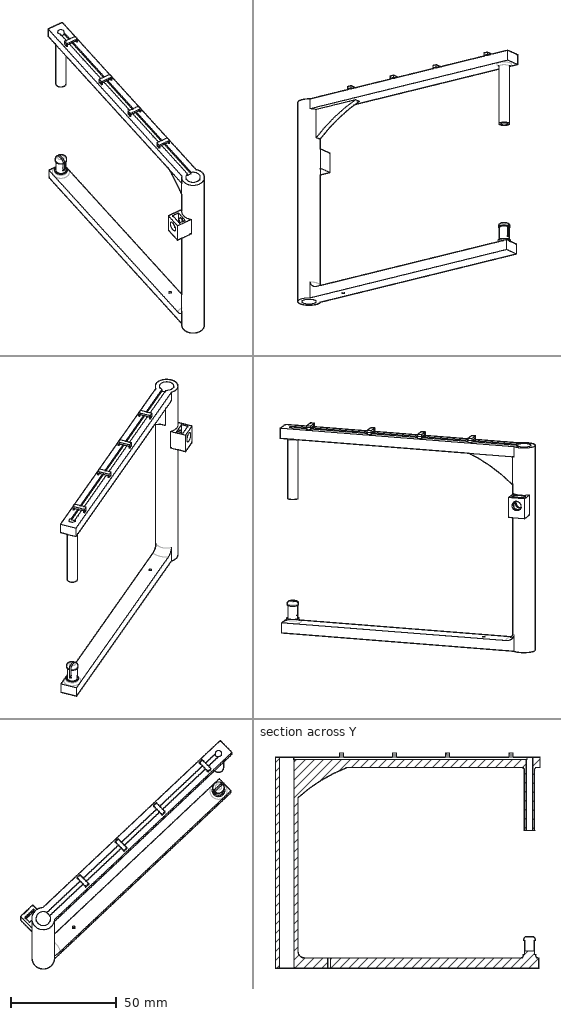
import cadquery as cq
import math

post_radius = 5.4
post_height = 100.0
bore_diameter = 6.8

arm_width = 8.0
arm_thickness = 5.0
upper_arm_reach = 120.0
lower_arm_reach = 119.4
upper_arm_bottom = post_height - arm_thickness
tip_axis_x = -115.0

groove_width = 2.0
groove_depth = 1.0
clip_positions = (-106.2, -76.1, -51.0, -26.0)
clip_length = 2.0
clip_width = 6.0
clip_height = 2.0
clip_opening_width = 5.0
clip_opening_height = 1.0

tube_diameter = 5.0
tube_bore_diameter = 3.0
tube_bottom = 65.2
tube_flare = 1.0

pin_diameter = 4.8
pin_collar_diameter = 6.0
pin_collar_height = 1.6
pin_head_diameter = 5.5
pin_head_bottom = 8.0
pin_head_height = 2.0
pin_head_rounding = 1.3
pin_head_chamfer = 0.3
pin_flare = 1.0
pin_slot_width = 0.8
pin_slot_floor = 3.3

gusset_thickness = 3.0
gusset_length = 28.5
gusset_bottom = 80.9
gusset_sagitta = 1.3
corner_radius = 3.0

arm_hole_diameter = 1.2
arm_hole_x = -20.0

block_width = 8.0
block_front_y = -11.4
block_bottom = 67.2
block_height = 9.8
pocket_length = 5.8
pocket_floor = 70.2
pocket_width = 3.3
pocket_center_y = -8.0
screw_diameter = 4.5
screw_z = 73.1


def box(x_min, x_max, y_min, y_max, z_min, z_max):
    """Box between two opposite corners."""
    size = (x_max - x_min, y_max - y_min, z_max - z_min)
    return cq.Workplane("XY").box(*size, centered=False).translate((x_min, y_min, z_min))


def centered_box(x_min, x_max, width, z_min, z_max):
    """Box that is symmetric about the XZ plane."""
    return box(x_min, x_max, -width / 2, width / 2, z_min, z_max)


def cylinder(x, diameter, z_min, z_max):
    """Vertical cylinder in the XZ plane."""
    return cq.Workplane("XY", origin=(x, 0, z_min)).circle(diameter / 2).extrude(z_max - z_min)


def flare(x, diameter, radius, z_face, direction):
    """Concave ring that blends a vertical cylinder into the arm face."""
    inner = diameter / 2
    middle = radius * (1 - math.sqrt(0.5))
    profile = (
        cq.Workplane("XZ", origin=(x, 0, z_face))
        .lineTo(inner + radius, 0)
        .threePointArc((inner + middle, direction * middle), (inner, direction * radius))
        .lineTo(0, direction * radius)
        .close()
    )
    return profile.revolve(360, (0, 0, 0), (0, 1, 0))


def make_frame():
    """Post and both arms."""
    post = cylinder(0, 2 * post_radius, 0, post_height)
    upper = centered_box(-upper_arm_reach, 0, arm_width, upper_arm_bottom, post_height)
    lower = centered_box(-lower_arm_reach, 0, arm_width, 0, arm_thickness)
    return post.union(upper).union(lower)


def make_gusset():
    """Arched web under the upper arm."""
    run = gusset_length - post_radius
    rise = upper_arm_bottom - gusset_bottom
    chord = math.hypot(run, rise)
    arch_x = -post_radius - run / 2 + gusset_sagitta * rise / chord
    arch_z = gusset_bottom + rise / 2 + gusset_sagitta * run / chord
    return (
        cq.Workplane("XZ")
        .moveTo(0, upper_arm_bottom)
        .lineTo(-gusset_length, upper_arm_bottom)
        .threePointArc((arch_x, arch_z), (-post_radius, gusset_bottom))
        .lineTo(0, gusset_bottom)
        .close()
        .extrude(gusset_thickness / 2, both=True)
    )


def make_lower_corner():
    """Concave blend around the post, only as wide as the lower arm."""
    ring = flare(0, 2 * post_radius, corner_radius, arm_thickness, 1)
    corner_top = arm_thickness + corner_radius
    reach = post_radius + corner_radius
    return ring.intersect(centered_box(-reach, 0, arm_width, arm_thickness, corner_top))


def make_clip(x):
    """Small bridge across the cable groove."""
    x_min = x - clip_length / 2
    x_max = x + clip_length / 2
    body = centered_box(x_min, x_max, clip_width, post_height, post_height + clip_height)
    opening_top = post_height + clip_opening_height
    return body.cut(centered_box(x_min, x_max, clip_opening_width, post_height, opening_top))


def make_tube():
    """Tube that hangs from the upper arm, with a flared root."""
    tube = cylinder(tip_axis_x, tube_diameter, tube_bottom, upper_arm_bottom)
    return tube.union(flare(tip_axis_x, tube_diameter, tube_flare, upper_arm_bottom, -1))


def make_pin():
    """Split pin with a flared collar and a rounded snap head."""
    head_bottom = arm_thickness + pin_head_bottom
    head_top = head_bottom + pin_head_height
    collar_top = arm_thickness + pin_collar_height
    slot_reach = pin_head_diameter / 2
    shaft = cylinder(tip_axis_x, pin_diameter, arm_thickness, head_bottom)
    collar = cylinder(tip_axis_x, pin_collar_diameter, arm_thickness, collar_top)
    root = flare(tip_axis_x, pin_collar_diameter, pin_flare, arm_thickness, 1)
    head = cylinder(tip_axis_x, pin_head_diameter, head_bottom, head_top)
    head = head.faces(">Z").edges().fillet(pin_head_rounding)
    head = head.faces("<Z").edges().chamfer(pin_head_chamfer)
    slot = centered_box(
        tip_axis_x - slot_reach,
        tip_axis_x + slot_reach,
        pin_slot_width,
        arm_thickness + pin_slot_floor,
        head_top,
    )
    return shaft.union(collar).union(root).union(head).cut(slot)


def make_block():
    """Clamp block with an open-topped nut pocket and a screw hole that ends at the post."""
    half = block_width / 2
    block = box(-half, half, block_front_y, 0, block_bottom, block_bottom + block_height)
    pocket = box(
        -pocket_length / 2,
        pocket_length / 2,
        pocket_center_y - pocket_width / 2,
        pocket_center_y + pocket_width / 2,
        pocket_floor,
        block_bottom + block_height,
    )
    screw_hole = (
        cq.Workplane("XZ", origin=(0, 0, screw_z))
        .circle(screw_diameter / 2)
        .extrude(-block_front_y)
    )
    return block.cut(pocket).cut(screw_hole)


result = make_frame().union(make_gusset()).union(make_lower_corner())
result = result.union(make_tube()).union(make_pin()).union(make_block())

groove = centered_box(tip_axis_x, 0, groove_width, post_height - groove_depth, post_height)
result = (
    result.cut(groove)
    .cut(cylinder(tip_axis_x, tube_bore_diameter, tube_bottom, post_height))
    .cut(cylinder(0, bore_diameter, 0, post_height))
    .cut(cylinder(arm_hole_x, arm_hole_diameter, 0, arm_thickness))
)

for clip_x in clip_positions:
    result = result.union(make_clip(clip_x))